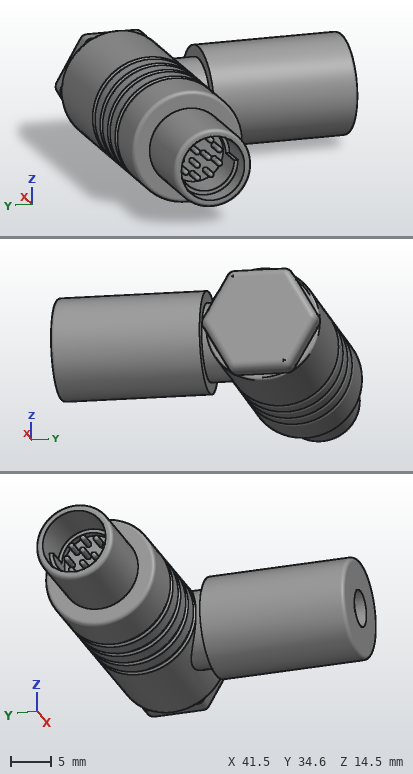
import cadquery as cq
import math


TOTAL_LENGTH = 41.5
NOSE_LENGTH = 10.0
NOSE_RADIUS = 5.05
BODY_RADIUS = 7.25
BODY_END_X = 38.7
EDGE_ROUND = 0.5
BODY_REAR_ROUND = 0.3

OUTLET_X = 31.1
NECK_RADIUS = 5.0
OUTLET_RADIUS = 6.5
OUTLET_START = 8.25
OUTLET_LENGTH = 19.0
OUTLET_END = OUTLET_START + OUTLET_LENGTH
CABLE_HOLE_RADIUS = 2.36
CABLE_HOLE_DEPTH = 1.5
OUTLET_BORE_RADIUS = 4.0

GROOVE_COUNT = 4
GROOVE_PITCH = 3.0
GROOVE_WIDTH = 1.0
GROOVE_CREST = 0.57
GROOVE_DEPTH = 0.35
GROOVE_BULGE = 0.07
LAST_GROOVE_X = 25.1

HEX_ACROSS_FLATS = 13.0
HEX_CORNER_ROUND = 1.0
HEX_END_ROUND = 0.99

BORE_RADIUS = 4.15
SHELL_INNER_RADIUS = 3.65
LOWER_SHELL_X = 2.6
UPPER_SHELL_X = 6.0
INSERT_FACE_X = 7.0
INSERT_REAR_X = 12.0
PIN_RADIUS = 0.35
PIN_TIP_X = 4.4
OUTER_PIN_COUNT = 9
OUTER_PIN_CIRCLE = 2.58
INNER_PIN_COUNT = 3
INNER_PIN_CIRCLE = 1.0
INNER_PIN_START = 60.0


def rod(radius, start_x, end_x):
    """Solid cylinder on the X axis."""
    return cq.Workplane("YZ", origin=(start_x, 0, 0)).circle(radius).extrude(end_x - start_x)


def outlet_rod(radius, start, end):
    """Solid cylinder on the outlet axis; distances are measured toward -Y."""
    return cq.Workplane("XZ", origin=(OUTLET_X, -start, 0)).circle(radius).extrude(end - start)


def grip_groove(start_x):
    """Ring cutter with a convex leading side and a concave trailing side."""
    return (
        cq.Workplane("XY")
        .moveTo(start_x, BODY_RADIUS)
        .sagittaArc((start_x + GROOVE_CREST, BODY_RADIUS - GROOVE_DEPTH), GROOVE_BULGE)
        .sagittaArc((start_x + GROOVE_WIDTH, BODY_RADIUS), -GROOVE_BULGE)
        .close()
        .revolve(360, (0, 0, 0), (1, 0, 0))
    )


def main_body():
    """Plug nose followed by the grooved body."""
    nose = rod(NOSE_RADIUS, 0, NOSE_LENGTH).faces("<X").edges().fillet(EDGE_ROUND)
    body = rod(BODY_RADIUS, NOSE_LENGTH, BODY_END_X)
    body = body.faces("<X").edges().fillet(EDGE_ROUND)
    body = body.faces(">X").edges().fillet(BODY_REAR_ROUND)
    for index in range(GROOVE_COUNT):
        body = body.cut(grip_groove(LAST_GROOVE_X - index * GROOVE_PITCH))
    return nose.union(body)


def hex_cap():
    """End cap with two corners on the Y axis and two flats facing up and down."""
    across_corners = HEX_ACROSS_FLATS / math.cos(math.radians(30))
    return (
        cq.Workplane("YZ", origin=(BODY_END_X, 0, 0))
        .polygon(6, across_corners)
        .extrude(TOTAL_LENGTH - BODY_END_X)
        .edges("|X").fillet(HEX_CORNER_ROUND)
        .faces(">X").edges().fillet(HEX_END_ROUND)
    )


def cable_outlet():
    """Neck and sleeve running toward -Y."""
    neck = outlet_rod(NECK_RADIUS, 0, OUTLET_START)
    sleeve = outlet_rod(OUTLET_RADIUS, OUTLET_START, OUTLET_END)
    sleeve = sleeve.faces("<Y").edges().fillet(EDGE_ROUND)
    return neck.union(sleeve)


def inner_cavity():
    """Socket and rear chamber along X, joined by the bore of the cable outlet."""
    socket = rod(BORE_RADIUS, 0, INSERT_FACE_X)
    chamber = rod(BORE_RADIUS, INSERT_REAR_X, BODY_END_X)
    outlet_bore = outlet_rod(OUTLET_BORE_RADIUS, 0, OUTLET_END - CABLE_HOLE_DEPTH)
    cable_hole = outlet_rod(CABLE_HOLE_RADIUS, 0, OUTLET_END)
    return socket.union(chamber).union(outlet_bore).union(cable_hole)


def half_shell(start_x, side):
    """Half ring lining the socket, above (side=1) or below (side=-1) the XY plane."""
    length = INSERT_FACE_X - start_x
    ring = rod(BORE_RADIUS, start_x, INSERT_FACE_X).cut(rod(SHELL_INNER_RADIUS, start_x, INSERT_FACE_X))
    half_space = cq.Workplane("XY").box(length, 2 * BORE_RADIUS, BORE_RADIUS).translate(
        (start_x + length / 2, 0, side * BORE_RADIUS / 2)
    )
    return ring.intersect(half_space)


def contact_pins(count, circle_radius, start_angle):
    """Ring of dome-tipped pins standing on the insert face."""
    dome_center_x = PIN_TIP_X + PIN_RADIUS
    dome = cq.Workplane("XY").sphere(PIN_RADIUS).translate((dome_center_x, 0, 0))
    first_pin = rod(PIN_RADIUS, dome_center_x, INSERT_REAR_X).union(dome).translate((0, circle_radius, 0))
    pins = cq.Workplane("XY")
    for index in range(count):
        angle = start_angle + index * 360 / count
        pins = pins.add(first_pin.rotate((0, 0, 0), (1, 0, 0), angle))
    return pins.combine()


def contact_insert():
    """Half shells and contact pins in front of the insert face."""
    shells = half_shell(LOWER_SHELL_X, -1).union(half_shell(UPPER_SHELL_X, 1))
    outer_pins = contact_pins(OUTER_PIN_COUNT, OUTER_PIN_CIRCLE, 0)
    inner_pins = contact_pins(INNER_PIN_COUNT, INNER_PIN_CIRCLE, INNER_PIN_START)
    return shells, outer_pins, inner_pins


result = main_body().union(hex_cap()).union(cable_outlet()).cut(inner_cavity())
for insert_part in contact_insert():
    result = result.union(insert_part)